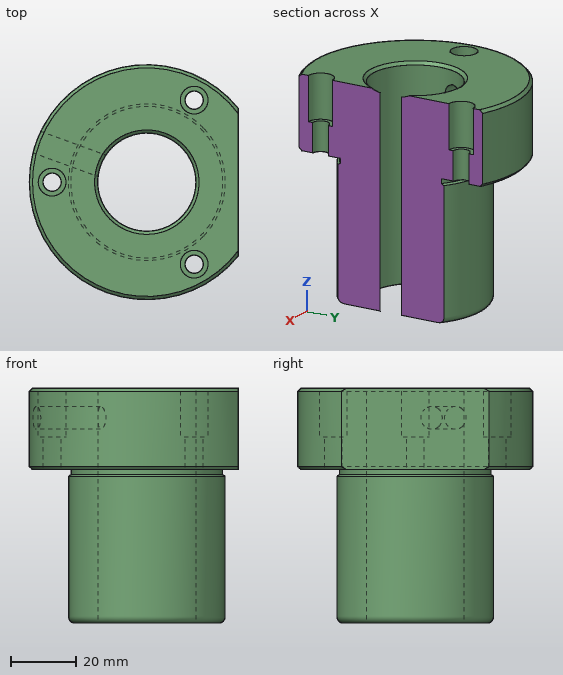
import cadquery as cq
import math

TOTAL_HEIGHT = 72.0
FLANGE_HEIGHT = 25.0
FLANGE_RADIUS = 36.0
FLANGE_CHAMFER = 1.0
FLAT_OFFSET = 28.0

SLEEVE_RADIUS = 24.0
SLEEVE_END_FILLET = 2.0
RELIEF_DEPTH = 0.75
RELIEF_WIDTH = 1.5
RELIEF_TAPER_HEIGHT = 0.5

BORE_RADIUS = 15.0
BORE_CHAMFER = 1.0

SCREW_CIRCLE_RADIUS = 29.0
SCREW_ANGLES = (60.0, 180.0, 300.0)
SCREW_HOLE_DIAMETER = 5.5
COUNTERBORE_DIAMETER = 8.5
COUNTERBORE_DEPTH = 15.0

PORT_DIAMETER = 7.0
PORT_BELOW_TOP = 9.1
PORT_ANGLE = 160.0

FLANGE_BOTTOM = TOTAL_HEIGHT - FLANGE_HEIGHT


def make_body():
    """Revolved sleeve and flange, including the relief groove and the bore."""
    groove_radius = SLEEVE_RADIUS - RELIEF_DEPTH
    groove_bottom = FLANGE_BOTTOM - RELIEF_WIDTH
    fillet_shift = SLEEVE_END_FILLET * (1 - math.sqrt(0.5))
    return (
        cq.Workplane("XZ")
        .moveTo(BORE_RADIUS, 0)
        .lineTo(SLEEVE_RADIUS - SLEEVE_END_FILLET, 0)
        .threePointArc(
            (SLEEVE_RADIUS - fillet_shift, fillet_shift),
            (SLEEVE_RADIUS, SLEEVE_END_FILLET),
        )
        .lineTo(SLEEVE_RADIUS, groove_bottom - RELIEF_TAPER_HEIGHT)
        .lineTo(groove_radius, groove_bottom)
        .lineTo(groove_radius, FLANGE_BOTTOM)
        .lineTo(FLANGE_RADIUS - FLANGE_CHAMFER, FLANGE_BOTTOM)
        .lineTo(FLANGE_RADIUS, FLANGE_BOTTOM + FLANGE_CHAMFER)
        .lineTo(FLANGE_RADIUS, TOTAL_HEIGHT - FLANGE_CHAMFER)
        .lineTo(FLANGE_RADIUS - FLANGE_CHAMFER, TOTAL_HEIGHT)
        .lineTo(BORE_RADIUS + BORE_CHAMFER, TOTAL_HEIGHT)
        .lineTo(BORE_RADIUS, TOTAL_HEIGHT - BORE_CHAMFER)
        .close()
        .revolve(360, (0, 0, 0), (0, 1, 0))
    )


def cut_flat(body):
    """Remove the flange material beyond the flat on the +X side."""
    removed = cq.Workplane("XY").box(
        FLANGE_RADIUS, 2 * FLANGE_RADIUS, TOTAL_HEIGHT, centered=(False, True, False)
    )
    return body.cut(removed.translate((FLAT_OFFSET, 0, 0)))


def cut_screw_holes(body):
    """Counterbored screw holes through the flange."""
    centers = [
        (
            SCREW_CIRCLE_RADIUS * math.cos(math.radians(angle)),
            SCREW_CIRCLE_RADIUS * math.sin(math.radians(angle)),
        )
        for angle in SCREW_ANGLES
    ]
    return (
        body.faces(">Z")
        .workplane(origin=(0, 0, TOTAL_HEIGHT))
        .pushPoints(centers)
        .cboreHole(SCREW_HOLE_DIAMETER, COUNTERBORE_DIAMETER, COUNTERBORE_DEPTH, FLANGE_HEIGHT)
    )


def cut_port(body):
    """Radial port from the flange rim into the bore."""
    angle = math.radians(PORT_ANGLE)
    direction = cq.Vector(math.cos(angle), math.sin(angle), 0)
    port = cq.Solid.makeCylinder(
        PORT_DIAMETER / 2,
        FLANGE_RADIUS,
        cq.Vector(0, 0, TOTAL_HEIGHT - PORT_BELOW_TOP),
        direction,
    )
    return body.cut(cq.Workplane(port))


body = make_body()
body = cut_flat(body)
body = cut_screw_holes(body)
result = cut_port(body)